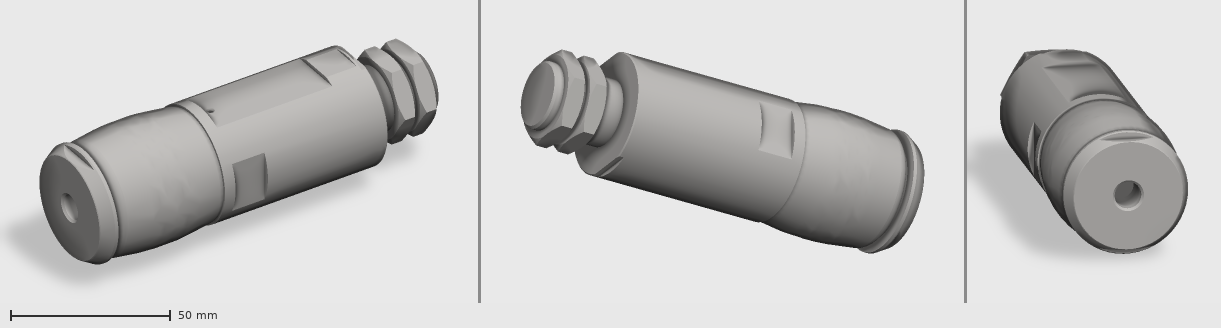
import cadquery as cq
import math

overall_length = 131.0

barrel_diameter = 40.0
barrel_front = 45.0
barrel_back = 106.0
barrel_chamfer = 0.4
stub_diameter = 22.0
stub_chamfer = 0.8

relief_diameter = 21.0
relief_width = 0.4

end_flat_height = 18.5
end_flat_length = 2.0

label_flat_height = 17.7
label_flat_front = 49.0
label_flat_back = 92.0
shallow_flat_height = 19.1
shallow_flat_back = 103.2

wrench_flat_offset = 18.0
wrench_flat_length = 12.0

vent_diameter = 1.6
vent_mouth_diameter = 2.8
vent_depth = 2.6
vent_tip_angle = 118.0
vent_position = 52.5

sleeve_front = 6.2
sleeve_shoulder_front = 9.5
sleeve_shoulder_back = 43.8
sleeve_shoulder_diameter = 38.9
sleeve_largest_diameter = 41.9
sleeve_front_diameter = 32.0
sleeve_back_diameter = 38.3
sleeve_nose_radius = 4.5

cap_flange_back = 5.4
cap_taper_start = 4.2
cap_diameter = 39.8
cap_front_diameter = 35.2
cap_front_chamfer = 0.3
cap_neck_diameter = 32.0
cap_flat_height = 17.5
cap_flat_back = 3.7

port_diameter = 8.5
port_mouth_diameter = 10.0
port_depth = 13.1

nut_across_flats = 27.0
nut_thickness = 6.0
nut_end_gap = 3.0
nut_spacing = 2.0
nut_count = 2
nut_chamfer_diameter = 27.1
nut_chamfer_angle = 30.0

cutter_size = 2 * barrel_diameter


def turned(points):
    """Revolve a closed outline of (radius, y) points about the Y axis."""
    return cq.Workplane("XY").polyline(points).close().revolve(360, (0, 0, 0), (0, 1, 0))


def rod(diameter, y_start, y_end):
    """Round rod along the Y axis."""
    return turned([(0, y_start), (diameter / 2, y_start), (diameter / 2, y_end), (0, y_end)])


def top_cutter(height, y_start, y_end):
    """Block that removes everything above the given height between two Y positions."""
    length = y_end - y_start
    block = cq.Workplane("XY").box(cutter_size, length, cutter_size, centered=(True, False, False))
    return block.translate((0, y_start, height))


def turned_about_axis(shape, angle):
    """Copy of a shape rotated about the Y axis."""
    return shape.rotate((0, 0, 0), (0, 1, 0), angle)


def make_vent():
    """Cutter for the countersunk vent hole with a drill-point bottom."""
    hole_radius = vent_diameter / 2
    mouth_radius = vent_mouth_diameter / 2
    tip_length = hole_radius / math.tan(math.radians(vent_tip_angle / 2))
    outline = [
        (0, 0),
        (mouth_radius, 0),
        (hole_radius, hole_radius - mouth_radius),
        (hole_radius, -vent_depth),
        (0, -vent_depth - tip_length),
    ]
    cutter = cq.Workplane("XZ").polyline(outline).close().revolve(360, (0, 0, 0), (0, 1, 0))
    return cutter.translate((0, vent_position, label_flat_height))


def make_housing():
    barrel = rod(barrel_diameter, barrel_front, barrel_back).faces(">Y").chamfer(barrel_chamfer)
    stub = rod(stub_diameter, barrel_back, overall_length).faces(">Y").chamfer(stub_chamfer)
    relief = rod(stub_diameter, barrel_back, barrel_back + relief_width)
    relief = relief.cut(rod(relief_diameter, barrel_back, barrel_back + relief_width))
    housing = barrel.union(stub).cut(relief)

    end_flat = top_cutter(end_flat_height, barrel_back - end_flat_length, barrel_back)
    for angle in (0, 180):
        housing = housing.cut(turned_about_axis(end_flat, angle))

    housing = housing.cut(top_cutter(label_flat_height, label_flat_front, label_flat_back))
    housing = housing.cut(top_cutter(shallow_flat_height, label_flat_back, shallow_flat_back))

    wrench_flat = top_cutter(wrench_flat_offset, label_flat_front, label_flat_front + wrench_flat_length)
    for angle in (90, -90):
        housing = housing.cut(turned_about_axis(wrench_flat, angle))

    return housing.cut(make_vent())


def make_port():
    """Cutter for the chamfered axial port, shared by the cap and the sleeve."""
    mouth_chamfer = (port_mouth_diameter - port_diameter) / 2
    return turned([
        (0, 0),
        (port_mouth_diameter / 2, 0),
        (port_diameter / 2, mouth_chamfer),
        (port_diameter / 2, port_depth),
        (0, port_depth),
    ])


def make_sleeve():
    shoulder_radius = sleeve_shoulder_diameter / 2
    front_radius = sleeve_front_diameter / 2
    front_y = sleeve_shoulder_front
    back_y = sleeve_shoulder_back
    middle = (front_y + back_y) / 2
    outline = (
        cq.Workplane("XY")
        .moveTo(0, sleeve_front)
        .lineTo(front_radius, sleeve_front)
        .radiusArc((shoulder_radius, front_y), -sleeve_nose_radius)
        .threePointArc((sleeve_largest_diameter / 2, middle), (shoulder_radius, back_y))
        .lineTo(sleeve_back_diameter / 2, barrel_front)
        .lineTo(0, barrel_front)
        .close()
    )
    return outline.revolve(360, (0, 0, 0), (0, 1, 0)).cut(make_port())


def make_cap():
    cap = turned([
        (0, 0),
        (cap_front_diameter / 2 - cap_front_chamfer, 0),
        (cap_front_diameter / 2, cap_front_chamfer),
        (cap_diameter / 2, cap_taper_start),
        (cap_diameter / 2, cap_flange_back),
        (cap_neck_diameter / 2, cap_flange_back),
        (cap_neck_diameter / 2, sleeve_front),
        (0, sleeve_front),
    ])
    flat = top_cutter(cap_flat_height, 0, cap_flat_back)
    for angle in (0, 180):
        cap = cap.cut(turned_about_axis(flat, angle))
    return cap.cut(make_port())


def make_nut(y_start):
    corner_radius = nut_across_flats / math.sqrt(3)
    across_corners = 2 * corner_radius
    y_end = y_start + nut_thickness
    hexagon = cq.Workplane("XZ", origin=(0, y_start, 0)).polygon(6, across_corners).extrude(-nut_thickness)
    face_radius = nut_chamfer_diameter / 2
    chamfer_depth = (corner_radius - face_radius) * math.tan(math.radians(nut_chamfer_angle))
    chamfered_round = turned([
        (0, y_start),
        (face_radius, y_start),
        (corner_radius, y_start + chamfer_depth),
        (corner_radius, y_end - chamfer_depth),
        (face_radius, y_end),
        (0, y_end),
    ])
    return hexagon.intersect(chamfered_round).cut(rod(stub_diameter, y_start, y_end))


housing = make_housing()
sleeve = make_sleeve()
cap = make_cap()

last_nut_start = overall_length - nut_end_gap - nut_thickness
nut_pitch = nut_thickness + nut_spacing
nuts = [make_nut(last_nut_start - i * nut_pitch) for i in range(nut_count)]

result = cq.Compound.makeCompound([housing.val(), sleeve.val(), cap.val(), *[nut.val() for nut in nuts]])